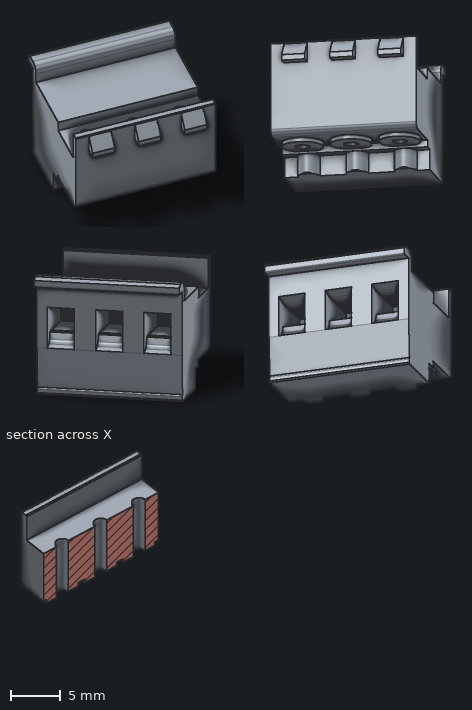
import cadquery as cq


body_width = 15.0
height = 12.35
front_x = 1.22
rear_x = 13.62
rear_wall_thickness = 0.82
front_wall_thickness = 0.96
front_wall_back_x = front_x + front_wall_thickness
rear_wall_front_x = rear_x - rear_wall_thickness
deck_z = 10.25
deck_end_x = 8.55
screw_deck_z = 9.12
underside_z = 2.78
foot_x = 7.18
foot_z = 2.08
skirt_x = 8.34
rear_corner_radius = 0.66
wall_front_chamfer = 0.12
wall_rear_chamfer = 0.08

lip_bottom_z = 11.32
lip_chamfer_x = 0.42
lip_chamfer_z = 0.32
lip_lower_radius = 0.15
lip_round_radius = 0.92

taper_top_z = 4.83
taper_bottom_x = 1.47
taper_bottom_z = 0.7
toe_x = 1.36
toe_top_z = 0.52
toe_bead_radius = 0.15
toe_chamfer = 0.15

pole_count = 3
pole_pitch = 5.0
pole_offset = 0.03

screw_x = 10.12
screw_hole_diameter = 1.5
collar_radius = 2.08
collar_z = 2.34

key_radius = skirt_x - foot_x
key_bevel = 0.14

hook_width = 2.37
hook_pitch = 4.95
hook_reach = 1.08
hook_tip_x = rear_x + hook_reach
hook_top_z = 12.21
hook_nose_z = 10.82

entry_width = 2.79
entry_top_z = 9.05
entry_depth = 6.0
ceiling_drop = 0.3
ramp_depth = 0.7
ramp_end_z = 5.13
curve_depth = 1.06
curve_end_z = 5.54
curve_sagitta = 0.05
sill_depth = 1.23
sill_z = 6.22
shelf_depth = 1.88
shelf_z = 6.28


def row_centers(pitch):
    """Return the Y centers of one feature per pole."""
    middle = (pole_count - 1) / 2
    return [body_width / 2 + pole_offset + (index - middle) * pitch for index in range(pole_count)]


def extrude_along_y(profile, center_y, width):
    """Extrude a closed XZ profile symmetrically about center_y."""
    return profile.extrude(width / 2, both=True).translate((0, center_y, 0))


def make_body():
    profile = (
        cq.Workplane("XZ")
        .moveTo(toe_x + toe_chamfer, 0)
        .lineTo(foot_x, 0)
        .lineTo(foot_x, foot_z)
        .lineTo(skirt_x, foot_z)
        .lineTo(skirt_x, underside_z)
        .lineTo(rear_x - rear_corner_radius, underside_z)
        .radiusArc((rear_x, underside_z + rear_corner_radius), -rear_corner_radius)
        .lineTo(rear_x, height - wall_rear_chamfer)
        .lineTo(rear_x - wall_rear_chamfer, height)
        .lineTo(rear_wall_front_x + wall_front_chamfer, height)
        .lineTo(rear_wall_front_x, height - wall_front_chamfer)
        .lineTo(rear_wall_front_x, screw_deck_z)
        .lineTo(deck_end_x, screw_deck_z)
        .lineTo(deck_end_x, deck_z)
        .lineTo(front_wall_back_x, deck_z)
        .lineTo(front_wall_back_x, height - lip_round_radius)
        .radiusArc((front_wall_back_x - lip_round_radius, height), -lip_round_radius)
        .lineTo(lip_chamfer_x, height)
        .lineTo(0, height - lip_chamfer_z)
        .lineTo(0, lip_bottom_z + lip_lower_radius)
        .radiusArc((lip_lower_radius, lip_bottom_z), -lip_lower_radius)
        .lineTo(front_x, lip_bottom_z)
        .lineTo(front_x, taper_top_z)
        .lineTo(taper_bottom_x, taper_bottom_z)
        .radiusArc((toe_x, toe_top_z), -toe_bead_radius)
        .lineTo(toe_x, toe_chamfer)
        .close()
    )
    return extrude_along_y(profile, body_width / 2, body_width)


def make_hook(center_y):
    profile = (
        cq.Workplane("XZ")
        .moveTo(rear_wall_front_x, deck_z)
        .lineTo(hook_tip_x, deck_z)
        .lineTo(hook_tip_x, hook_nose_z)
        .lineTo(rear_x, hook_top_z)
        .lineTo(rear_wall_front_x, hook_top_z)
        .close()
    )
    return extrude_along_y(profile, center_y, hook_width)


def make_key(center_y):
    """Upright round key with a bevel across its rear bottom edge."""
    post = cq.Workplane("XY", origin=(foot_x, center_y, 0)).circle(key_radius).extrude(foot_z)
    bevel_corner = (
        cq.Workplane("XZ")
        .moveTo(skirt_x, 0)
        .lineTo(skirt_x - key_bevel, 0)
        .lineTo(skirt_x, key_bevel)
        .close()
    )
    return post.cut(extrude_along_y(bevel_corner, center_y, 2 * key_radius))


def make_collar(center_y):
    return (
        cq.Workplane("XY", origin=(screw_x, center_y, collar_z))
        .circle(collar_radius)
        .extrude(underside_z - collar_z)
    )


def make_screw_hole(center_y):
    return (
        cq.Workplane("XY", origin=(screw_x, center_y, 0))
        .circle(screw_hole_diameter / 2)
        .extrude(height)
    )


def make_wire_entry(center_y):
    profile = (
        cq.Workplane("XZ")
        .moveTo(front_x, taper_top_z)
        .lineTo(front_x + ramp_depth, ramp_end_z)
        .sagittaArc((front_x + curve_depth, curve_end_z), -curve_sagitta)
        .lineTo(front_x + sill_depth, sill_z)
        .lineTo(front_x + shelf_depth, sill_z)
        .lineTo(front_x + shelf_depth, shelf_z)
        .lineTo(front_x + entry_depth, shelf_z)
        .lineTo(front_x + entry_depth, entry_top_z - ceiling_drop)
        .lineTo(front_x + sill_depth, entry_top_z - ceiling_drop)
        .lineTo(front_x, entry_top_z)
        .close()
    )
    return extrude_along_y(profile, center_y, entry_width)


result = make_body()
for hook_y in row_centers(hook_pitch):
    result = result.union(make_hook(hook_y))
for pole_y in row_centers(pole_pitch):
    result = result.union(make_key(pole_y))
    result = result.union(make_collar(pole_y))
    result = result.cut(make_screw_hole(pole_y))
    result = result.cut(make_wire_entry(pole_y))